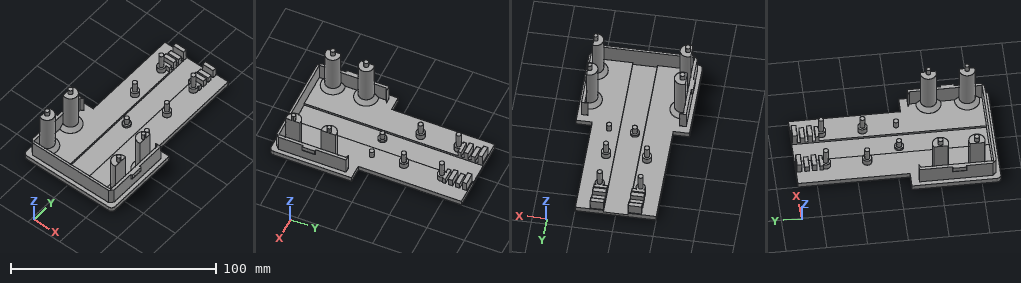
import cadquery as cq

LENGTH = 99.0
HEAD_WIDTH = 56.0
HEAD_LENGTH = 44.0
TAIL_WIDTH = 40.0
PLATE_THICKNESS = 2.8
CORNER_RADIUS = 2.2

CHANNEL_WIDTH = 12.1
CHANNEL_DEPTH = 1.2
CHANNEL_FLOOR = PLATE_THICKNESS - CHANNEL_DEPTH

WALL_MARGIN = 2.2
WALL_TOP = 11.9
SIDE_WALL = 1.6
FRONT_WALL = 1.3
WALL_CHAMFER = 1.9
WALL_REAR = 40.0
WALL_OUTER_X = HEAD_WIDTH / 2 - WALL_MARGIN
WALL_INNER_X = WALL_OUTER_X - SIDE_WALL
WALL_INNER_Y = WALL_MARGIN + FRONT_WALL
WALL_HEIGHT = WALL_TOP - PLATE_THICKNESS

LIP_REACH = 1.7
LIP_ROOT = 0.9

TAB_FRONT = 16.9
TAB_LENGTH = 6.8
TAB_REACH = 1.0
TAB_FACE_HEIGHT = 2.6

POST_RADIUS = 4.0
FOOT_RADIUS = 6.1
FOOT_HEIGHT = 2.2
PIN_TOP = 29.0
LEFT_POST_X = -22.4
LEFT_POST_YS = (11.5, 29.3)
LEFT_POST_TOP = 26.1
RIGHT_POST_X = 23.3
RIGHT_POST_YS = (10.9, 29.9)
RIGHT_POST_TOP = 25.8
LARGE_PIN = 2.5
SMALL_PIN = 2.2

COLLAR_DIAMETER = 4.5
COLLAR_TOP = 5.8
PIN_X = 10.1
REAR_PIN_Y = 84.15
REAR_PIN_TOP = 14.0
MIDDLE_PIN_Y = 63.9
MIDDLE_PIN_TOP = 11.8
FRONT_PIN_Y = 47.2
FRONT_PIN_TOP = 6.5
FRONT_PIN_X = 11.1
CHANNEL_PIN_X = -1.6

RIB_OUTER_X = 12.7
RIB_THICKNESS = 2.3
RIB_PITCH = 3.8
RIB_REAR_GAP = 0.5
RIB_TOPS = (8.0, 5.8, 6.8, 5.8)
LAST_RIB_THICKNESS = 1.7


def block(x0, x1, y0, y1, z0, z1):
    """Box between two opposite corners."""
    return cq.Workplane("XY").box(x1 - x0, y1 - y0, z1 - z0, centered=False).translate((x0, y0, z0))


def cylinder(x, y, diameter, z0, z1):
    """Upright cylinder."""
    return cq.Workplane("XY", origin=(x, y, z0)).circle(diameter / 2).extrude(z1 - z0)


def on_both_sides(solid):
    """The solid together with its mirror image across the middle plane."""
    return solid.union(solid.mirror("YZ"))


def make_plate():
    head = block(-HEAD_WIDTH / 2, HEAD_WIDTH / 2, 0, HEAD_LENGTH, 0, PLATE_THICKNESS)
    head = head.edges("|Z and <Y").fillet(CORNER_RADIUS)
    tail = block(-TAIL_WIDTH / 2, TAIL_WIDTH / 2, HEAD_LENGTH, LENGTH, 0, PLATE_THICKNESS)
    channel = block(
        -CHANNEL_WIDTH / 2, CHANNEL_WIDTH / 2, WALL_INNER_Y, LENGTH, CHANNEL_FLOOR, PLATE_THICKNESS
    )
    return head.union(tail).cut(channel)


def make_wall():
    outer = block(-WALL_OUTER_X, WALL_OUTER_X, WALL_MARGIN, WALL_REAR, PLATE_THICKNESS, WALL_TOP)
    outer = outer.edges("|Z and <Y").chamfer(WALL_CHAMFER)
    inner = block(-WALL_INNER_X, WALL_INNER_X, WALL_INNER_Y, WALL_REAR, PLATE_THICKNESS, WALL_TOP)
    lip = (
        cq.Workplane("XY", origin=(0, 0, PLATE_THICKNESS))
        .moveTo(WALL_INNER_X, WALL_REAR)
        .lineTo(WALL_INNER_X - LIP_REACH, WALL_REAR)
        .lineTo(WALL_INNER_X, WALL_REAR - LIP_ROOT)
        .close()
        .extrude(WALL_HEIGHT)
    )
    return outer.cut(inner).union(on_both_sides(lip))


def make_snap_tabs():
    face_bottom = WALL_TOP - TAB_FACE_HEIGHT
    tab = (
        cq.Workplane("XZ", origin=(0, TAB_FRONT, 0))
        .moveTo(WALL_OUTER_X, WALL_TOP)
        .lineTo(WALL_OUTER_X + TAB_REACH, WALL_TOP)
        .lineTo(WALL_OUTER_X + TAB_REACH, face_bottom)
        .lineTo(WALL_OUTER_X, face_bottom - TAB_REACH)
        .close()
        .extrude(-TAB_LENGTH)
    )
    return on_both_sides(tab)


def make_post(x, y, top, pin_diameter):
    """Post with a conical foot and a pin on top, cut flat along the inside of the wall."""
    foot = (
        cq.Workplane("XY", origin=(x, y, PLATE_THICKNESS))
        .circle(FOOT_RADIUS)
        .workplane(offset=FOOT_HEIGHT)
        .circle(POST_RADIUS)
        .loft()
    )
    shaft = cylinder(x, y, 2 * POST_RADIUS, PLATE_THICKNESS, top)
    pin = cylinder(x, y, pin_diameter, top, PIN_TOP)
    inside = block(-WALL_INNER_X, WALL_INNER_X, WALL_INNER_Y, WALL_REAR, PLATE_THICKNESS, PIN_TOP)
    return foot.union(shaft).union(pin).intersect(inside)


def make_collared_pin(x, y, top):
    collar = cylinder(x, y, COLLAR_DIAMETER, PLATE_THICKNESS, COLLAR_TOP)
    return collar.union(cylinder(x, y, LARGE_PIN, PLATE_THICKNESS, top))


def make_ribs():
    ribs = cq.Workplane("XY")
    last = len(RIB_TOPS) - 1
    for index, top in enumerate(RIB_TOPS):
        thickness = LAST_RIB_THICKNESS if index == last else RIB_THICKNESS
        rear = LENGTH - RIB_REAR_GAP - index * RIB_PITCH
        rib = block(CHANNEL_WIDTH / 2, RIB_OUTER_X, rear - thickness, rear, PLATE_THICKNESS, top)
        ribs = ribs.add(rib)
    return on_both_sides(ribs.combine())


result = make_plate().union(make_wall()).union(make_snap_tabs()).union(make_ribs())

for post_y in LEFT_POST_YS:
    result = result.union(make_post(LEFT_POST_X, post_y, LEFT_POST_TOP, LARGE_PIN))
for post_y in RIGHT_POST_YS:
    result = result.union(make_post(RIGHT_POST_X, post_y, RIGHT_POST_TOP, SMALL_PIN))

for pin_x in (-PIN_X, PIN_X):
    result = result.union(make_collared_pin(pin_x, REAR_PIN_Y, REAR_PIN_TOP))
    result = result.union(make_collared_pin(pin_x, MIDDLE_PIN_Y, MIDDLE_PIN_TOP))

result = result.union(cylinder(FRONT_PIN_X, FRONT_PIN_Y, LARGE_PIN, PLATE_THICKNESS, FRONT_PIN_TOP))
result = result.union(cylinder(CHANNEL_PIN_X, FRONT_PIN_Y, COLLAR_DIAMETER, CHANNEL_FLOOR, PLATE_THICKNESS))
result = result.union(cylinder(CHANNEL_PIN_X, FRONT_PIN_Y, LARGE_PIN, CHANNEL_FLOOR, FRONT_PIN_TOP))